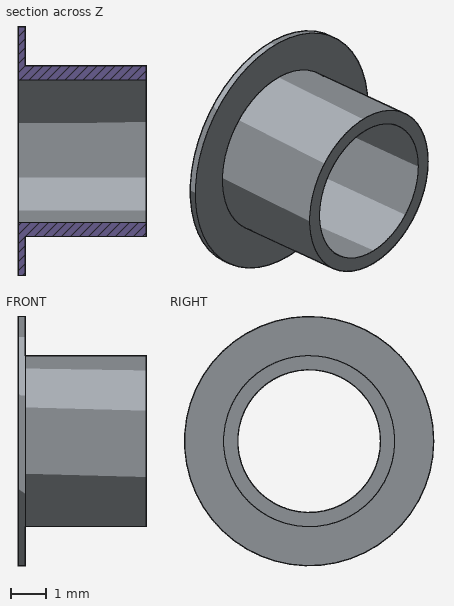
import cadquery as cq

flange_diameter = 7.0
flange_thickness = 0.2
barrel_diameter = 4.8
bore_diameter = 4.0
overall_length = 3.6

flange = cq.Workplane("YZ").circle(flange_diameter / 2).extrude(flange_thickness)
barrel = cq.Workplane("YZ").circle(barrel_diameter / 2).extrude(overall_length)

bore = cq.Workplane("YZ").circle(bore_diameter / 2).extrude(overall_length)

result = flange.union(barrel).cut(bore)